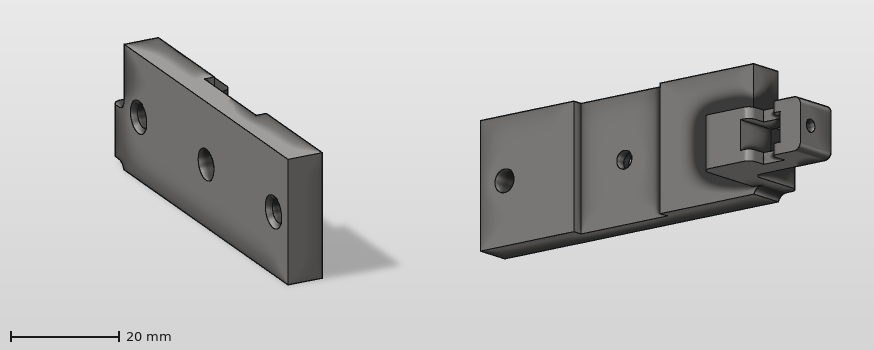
import cadquery as cq

length = 88.6
depth = 22.5
plate_height = 25.0

plate_left = 23.6
plate_thickness = 7.2
recess_width = 20.55
recess_depth = 2.1

row_center_x = 56.1
screw_pitch = 26.75
screw_diameter = 4.5
screw_countersink_diameter = 6.5
countersink_angle = 90
center_hole_diameter = 3.5
center_bore_diameter = 6.2
center_bore_depth = 3.0

arm_bottom = 1.4
arm_height = 10.4
arm_thickness = 9.0
wall_thickness = 5.05
bend_radius = 2.0
tip_radius = 1.5

notch_left = 7.1
notch_width = 4.9
notch_depth = 4.0
notch_lip_radius = 1.5
window_left = 4.9
window_width = 9.4
window_height = 5.85
pin_diameter = 2.5
pin_from_back = 3.0

arm_middle = arm_bottom + arm_height / 2
arm_top = arm_bottom + arm_height
arm_front = depth - arm_thickness
wall_left = plate_left - wall_thickness
notch_right = notch_left + notch_width
notch_floor = depth - notch_depth
hole_row_z = plate_height / 2


def box(x, y, z, size_x, size_y, size_z):
    """Box with its lowest corner at (x, y, z)."""
    return cq.Workplane("XY").box(size_x, size_y, size_z, centered=False).translate((x, y, z))


def edge_at(solid, x, y):
    """Vertical edge standing at (x, y)."""
    middle = cq.Vector(x, y, arm_middle)
    reach = cq.Vector(0.01, 0.01, arm_height)
    return solid.edges(cq.selectors.BoxSelector(middle - reach, middle + reach))


def make_plate():
    plate = box(plate_left, 0, 0, length - plate_left, plate_thickness, plate_height)
    recess = box(
        row_center_x - recess_width / 2, plate_thickness - recess_depth, 0,
        recess_width, recess_depth, plate_height,
    )
    return plate.cut(recess)


def make_arm():
    profile = [
        (0, arm_front),
        (wall_left, arm_front),
        (wall_left, 0),
        (plate_left, 0),
        (plate_left, depth),
        (notch_right, depth),
        (notch_right, notch_floor),
        (notch_left, notch_floor),
        (notch_left, depth),
        (0, depth),
    ]
    arm = cq.Workplane("XY").workplane(offset=arm_bottom).polyline(profile).close().extrude(arm_height)
    for x, y in [(wall_left, arm_front), (wall_left, 0), (plate_left, depth)]:
        arm = edge_at(arm, x, y).fillet(bend_radius)
    for x in [notch_left, notch_right]:
        arm = edge_at(arm, x, depth).fillet(notch_lip_radius)
    arm = arm.faces("<X").edges("|Y").fillet(tip_radius)

    window = box(
        window_left, arm_front, arm_middle - window_height / 2,
        window_width, arm_thickness, window_height,
    )
    pin_hole = (
        cq.Workplane("YZ")
        .center(depth - pin_from_back, arm_middle)
        .circle(pin_diameter / 2)
        .extrude(notch_left)
    )
    return arm.cut(window).cut(pin_hole)


def make_joint_fillet(arm_face_z, outward):
    """Concave fillet between an arm face and the plate edge, trimmed to the plate height."""
    corner = box(
        plate_left - bend_radius, 0, min(arm_face_z, arm_face_z + outward * bend_radius),
        bend_radius, plate_thickness, bend_radius,
    )
    round_cutter = (
        cq.Workplane("XZ")
        .center(plate_left - bend_radius, arm_face_z + outward * bend_radius)
        .circle(bend_radius)
        .extrude(-plate_thickness)
    )
    plate_band = box(0, 0, 0, length, plate_thickness, plate_height)
    return corner.cut(round_cutter).intersect(plate_band)


def cut_holes(body):
    front = cq.Workplane("XZ", origin=(row_center_x, 0, hole_row_z))
    body = body.cut(front.circle(center_hole_diameter / 2).extrude(-plate_thickness))
    body = body.cut(front.circle(center_bore_diameter / 2).extrude(-center_bore_depth))
    return (
        body.copyWorkplane(front)
        .pushPoints([(-screw_pitch, 0), (screw_pitch, 0)])
        .cskHole(screw_diameter, screw_countersink_diameter, countersink_angle)
    )


body = make_plate().union(make_arm())
body = body.union(make_joint_fillet(arm_top, 1))
body = body.union(make_joint_fillet(arm_bottom, -1))
result = cut_holes(body)